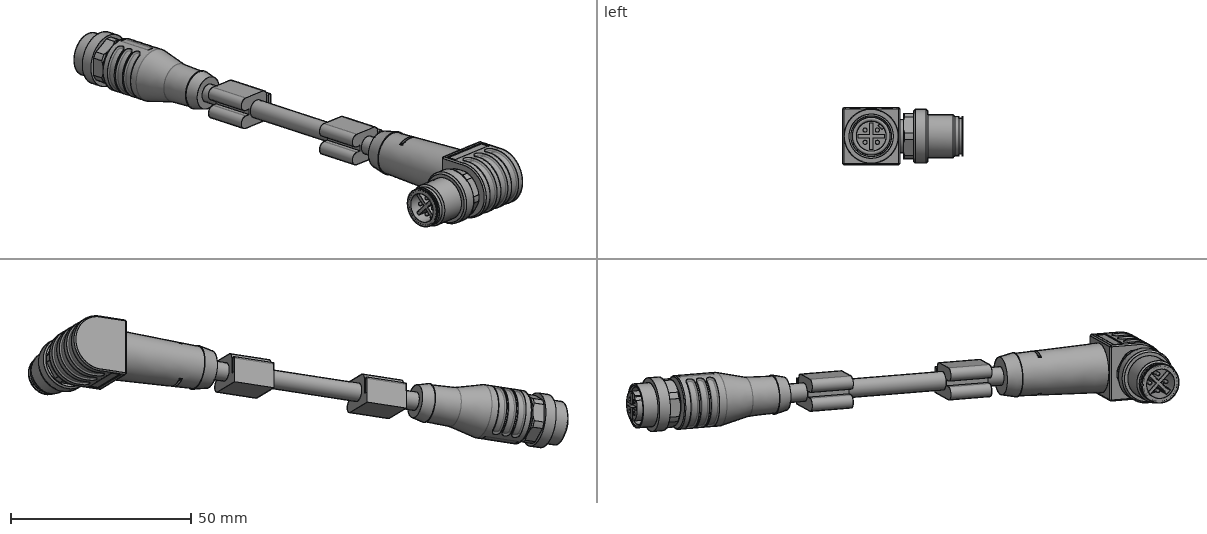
import cadquery as cq
import math

total_length = 155.37
cable_radius = 5.2 / 2
cable_overlap = 1.0

collar_radius = 15.0 / 2
hex_across_flats = 12.6
hex_corner_radius = 6.8
hex_chamfer = 0.4
neck_radius = 9.3 / 2

contact_count = 4
contact_pitch_radius = 2.4
socket_depth = 6.0
socket_angle = 45

insert_radius = 8.3 / 2
socket_radius = 1.15 / 2
cross_slot_width = 1.0
cross_slot_length = 7.4
keyway_width = 1.6
keyway_depth = 0.7
keyway_angle = 135
nut_front_x = 1.1
nut_front_radius = 12.3 / 2
nut_bore_radius = 10.5 / 2
nut_bore_end_x = 7.0
nut_bore_chamfer = 0.4
seal_center_x = 6.5
seal_squeeze = 0.03
collar_start_x = 5.4
collar_end_x = 8.6
hex_end_x = 12.0
body_start_x = 12.85
body_radius = 15.0 / 2
body_front_chamfer = 0.3
body_end_x = 25.4
cone_end_x = 33.9
cone_end_radius = 5.5
boot_lip_x = 41.9
boot_waist_radius = 5.2
boot_lip_radius = 5.5
boot_end_x = 45.5
boot_end_radius = 4.65

groove_fillet = 0.4
contact_tolerance = 1e-4

grip_center_x = 19.0
grip_pitch = 3.0
grip_width = 2.5
grip_depth = 0.5
grip_start_y = 2.6
label_flat_start_x = 13.9
label_flat_end_x = 24.05
label_flat_width = 1.86

clip_count = 2
clip_first_x = 51.2
clip_pitch = 41.2
clip_length = 12.2
clip_half_height = 4.55
clip_lobe_y = -4.5
clip_lobe_radius = 1.87
clip_gap_floor_y = -3.1
clip_flat_end_y = 2.6
clip_shoulder_radius = 1.6
clip_lip_end_y = 6.0
clip_lip_top_z = 2.9
clip_lip_thickness = 1.05
clip_slit_floor_z = -1.4

sleeve_boot_start_x = 109.6
sleeve_boot_start_radius = 5.3
sleeve_boot_lip_x = 113.9
sleeve_boot_lip_radius = 6.2
sleeve_boot_waist_radius = 5.95
sleeve_boot_end_radius = 6.95
notch_center_x = 120.0
notch_width = 0.8
notch_half_length = 3.5
block_start_x = 139.1
block_half_length = 8.0
block_radius = 7.985
block_half_height = 7.95
block_chamfer = 0.4
block_center_x = total_length - block_radius
block_groove_start_x = 144.5
block_groove_width = 2.9
block_groove_pitch = 4.5
block_groove_depth = 0.5
label_recess_start_x = 140.5
label_recess_end_x = 143.4
label_recess_length = 14.2
label_recess_depth = 0.3

plug_reach = 25.5
plug_tip_radius = 10.95 / 2
plug_ring_length = 0.35
plug_groove_end = 1.2
plug_groove_radius = 5.0
plug_step = 2.3
plug_sleeve_start = 2.8
plug_sleeve_radius = 12.0 / 2
plug_collar_start = 9.75
plug_collar_end = 13.75
plug_collar_chamfer = 0.5
plug_hex_end = 16.6
plug_bore_radius = 8.3 / 2
plug_bore_depth = 7.5
plug_web_recess = 1.5
plug_web_thickness = 1.0
plug_web_angle = 45
plug_pin_angle = 0
pin_radius = 1.0 / 2
pin_dome_radius = 0.45
key_width = 1.6
key_height = 0.9
key_angle = 225


def turned(points):
    """Solid of revolution about X from (x, radius) points; the axis closes the profile."""
    first_x = points[0][0]
    last_x = points[-1][0]
    outline = [(first_x, 0)] + points + [(last_x, 0)]
    return cq.Workplane("XY").polyline(outline).close().revolve(360, (0, 0, 0), (1, 0, 0))


def rod(radius, start_x, end_x):
    return cq.Workplane("YZ", origin=(start_x, 0, 0)).circle(radius).extrude(end_x - start_x)


def box_between(x_range, y_range, z_range):
    size = [high - low for low, high in (x_range, y_range, z_range)]
    corner = (x_range[0], y_range[0], z_range[0])
    return cq.Workplane("XY").box(*size, centered=False).translate(corner)


def about_axis(shape, angle):
    return shape.rotate((0, 0, 0), (1, 0, 0), angle)


def nut_hex(start_x, end_x, angle):
    """Hexagon with corners rounded by a cylinder and chamfered at the far end."""
    across_corners = hex_across_flats / math.cos(math.pi / 6)
    hexagon = cq.Workplane("YZ", origin=(start_x, 0, 0)).polygon(6, across_corners)
    hexagon = hexagon.extrude(end_x - start_x)
    rounding = turned([
        (start_x, hex_corner_radius),
        (end_x - hex_chamfer, hex_corner_radius),
        (end_x, hex_corner_radius - hex_chamfer),
    ])
    return about_axis(hexagon, angle).intersect(rounding)


def contact_points(first_angle):
    for index in range(contact_count):
        angle = math.radians(first_angle + index * 360 / contact_count)
        yield contact_pitch_radius * math.cos(angle), contact_pitch_radius * math.sin(angle)


def female_insert():
    insert = rod(insert_radius, 0, body_start_x)
    sockets = cq.Workplane("YZ").pushPoints(list(contact_points(socket_angle)))
    insert = insert.cut(sockets.circle(socket_radius).extrude(socket_depth))
    for angle in (0, 90):
        slot = cq.Workplane("YZ").rect(cross_slot_length, cross_slot_width).extrude(socket_depth)
        insert = insert.cut(about_axis(slot, angle))
    keyway = cq.Workplane("YZ").center(insert_radius, 0).rect(2 * keyway_depth, keyway_width)
    return insert.cut(about_axis(keyway.extrude(socket_depth), keyway_angle))


def female_nut():
    shell = turned([
        (nut_front_x, nut_front_radius),
        (collar_start_x, nut_front_radius),
        (collar_start_x, collar_radius),
        (collar_end_x, collar_radius),
        (collar_end_x, neck_radius),
        (body_start_x, neck_radius),
    ])
    shell = shell.union(nut_hex(collar_end_x, hex_end_x, 90))
    bore = turned([
        (nut_front_x, nut_bore_radius + nut_bore_chamfer),
        (nut_front_x + nut_bore_chamfer, nut_bore_radius),
        (nut_bore_end_x, nut_bore_radius),
    ])
    return shell.cut(bore)


def female_seal():
    """O-ring filling the gap between the insert and the nut bore."""
    ring_radius = (insert_radius + nut_bore_radius) / 2
    section_radius = (nut_bore_radius - insert_radius) / 2 + seal_squeeze
    section = cq.Workplane("XY").center(seal_center_x, ring_radius).circle(section_radius)
    return section.revolve(360, (0, -ring_radius, 0), (1, -ring_radius, 0))


def groove_cutter(slot, core):
    """Slot outside the core, with a fillet where its walls meet the floor on the core."""
    groove = slot.cut(core)
    floor_edges = []
    for edge in groove.edges("not(|Y)").vals():
        middle = cq.Vertex.makeVertex(*edge.positionAt(0.5).toTuple())
        if middle.distance(core.val()) < contact_tolerance:
            floor_edges.append(edge)
    return groove.newObject(floor_edges).fillet(groove_fillet)


def grip_groove(center_x):
    """Cutter for a groove around the +Y side of the female body, with rounded ends."""
    slot_length = 2 * body_radius
    slot = cq.Workplane("XY").center(center_x, grip_start_y + slot_length / 2)
    slot = slot.slot2D(slot_length, grip_width, 90).extrude(2 * body_radius, both=True)
    core = rod(body_radius - grip_depth, center_x - grip_width, center_x + grip_width)
    return groove_cutter(slot, core)


def female_body():
    body = turned([
        (body_start_x, body_radius - body_front_chamfer),
        (body_start_x + body_front_chamfer, body_radius),
        (body_end_x, body_radius),
        (cone_end_x, cone_end_radius),
        (boot_lip_x, boot_waist_radius),
        (boot_lip_x, boot_lip_radius),
        (boot_end_x, boot_end_radius),
    ])
    flat_z = math.sqrt(body_radius**2 - (label_flat_width / 2) ** 2)
    for angle in (0, 180):
        flat = box_between(
            (label_flat_start_x, label_flat_end_x), (-body_radius, body_radius), (flat_z, body_radius)
        )
        body = body.cut(about_axis(flat, angle))
        for step in (-1, 0, 1):
            groove = grip_groove(grip_center_x + step * grip_pitch)
            body = body.cut(about_axis(groove, angle))
    return body


def clip(start_x):
    """Cable clip: two rounded lobes on the -Y side and a latch lip on the +Y side."""
    top = clip_half_height
    lobe_inner_z = top - 2 * clip_lobe_radius
    lobe_tip = (clip_lobe_y - clip_lobe_radius, top - clip_lobe_radius)
    lip_inner_y = clip_lip_end_y - clip_lip_thickness
    lip_tip_radius = clip_lip_thickness / 2
    lip_inner_end = (lip_inner_y, clip_lip_top_z - lip_tip_radius)
    shoulder_y = clip_flat_end_y + clip_shoulder_radius
    shoulder_mid = clip_shoulder_radius * (1 - math.sqrt(0.5))
    profile = (
        cq.Workplane("YZ", origin=(start_x, 0, 0))
        .moveTo(clip_flat_end_y, top)
        .lineTo(clip_lobe_y, top)
        .threePointArc(lobe_tip, (clip_lobe_y, lobe_inner_z))
        .lineTo(clip_gap_floor_y, lobe_inner_z)
        .lineTo(clip_gap_floor_y, -lobe_inner_z)
        .lineTo(clip_lobe_y, -lobe_inner_z)
        .threePointArc((lobe_tip[0], -lobe_tip[1]), (clip_lobe_y, -top))
        .lineTo(clip_lip_end_y, -top)
        .lineTo(clip_lip_end_y, clip_lip_top_z - lip_tip_radius)
        .threePointArc((clip_lip_end_y - lip_tip_radius, clip_lip_top_z), lip_inner_end)
        .lineTo(lip_inner_y, clip_slit_floor_z)
        .lineTo(shoulder_y, clip_slit_floor_z)
        .lineTo(shoulder_y, top - clip_shoulder_radius)
        .threePointArc((shoulder_y - shoulder_mid, top - shoulder_mid), (clip_flat_end_y, top))
        .close()
    )
    return profile.extrude(clip_length)


def sleeve_boot():
    boot = turned([
        (sleeve_boot_start_x, sleeve_boot_start_radius),
        (sleeve_boot_lip_x, sleeve_boot_lip_radius),
        (sleeve_boot_lip_x, sleeve_boot_waist_radius),
        (block_start_x, sleeve_boot_end_radius),
    ])
    slope = (sleeve_boot_end_radius - sleeve_boot_waist_radius) / (block_start_x - sleeve_boot_lip_x)
    notch_radius = sleeve_boot_waist_radius + slope * (notch_center_x - sleeve_boot_lip_x)
    notch_floor = math.sqrt(notch_radius**2 - notch_half_length**2)
    notch = box_between(
        (notch_center_x - notch_width / 2, notch_center_x + notch_width / 2),
        (-notch_radius, notch_radius),
        (notch_floor, 2 * notch_radius),
    )
    return boot.cut(notch).cut(about_axis(notch, 180))


def block_prism(radius, half_height):
    """Prism along Y: flat above and below, closed on the +X side by a cylinder about the plug axis."""
    flat_end_x = block_center_x - math.sqrt(radius**2 - half_height**2)
    profile = (
        cq.Workplane("XZ")
        .moveTo(block_start_x, -half_height)
        .lineTo(flat_end_x, -half_height)
        .threePointArc((block_center_x + radius, 0), (flat_end_x, half_height))
        .lineTo(block_start_x, half_height)
        .close()
    )
    return profile.extrude(block_half_length, both=True)


def block():
    body = block_prism(block_radius, block_half_height)
    body = body.faces("<X or <Y or >Y").edges().chamfer(block_chamfer)
    core = block_prism(block_radius - block_groove_depth, block_half_height - block_groove_depth)
    groove_length = 4 * block_radius
    for step in (-1, 0, 1):
        groove = (
            cq.Workplane("XY")
            .center(block_groove_start_x + groove_length / 2, step * block_groove_pitch)
            .slot2D(groove_length, block_groove_width)
            .extrude(2 * block_radius, both=True)
        )
        body = body.cut(groove_cutter(groove, core))
    recess = box_between(
        (label_recess_start_x, label_recess_end_x),
        (-label_recess_length / 2, label_recess_length / 2),
        (block_half_height - label_recess_depth, block_radius),
    )
    return body.cut(recess).cut(about_axis(recess, 180))


def plug_shell():
    shell = turned([
        (0, plug_tip_radius),
        (plug_ring_length, plug_tip_radius),
        (plug_ring_length, plug_groove_radius),
        (plug_groove_end, plug_groove_radius),
        (plug_groove_end, plug_tip_radius),
        (plug_step, plug_tip_radius),
        (plug_sleeve_start, plug_sleeve_radius),
        (plug_collar_start, plug_sleeve_radius),
        (plug_collar_start, collar_radius - plug_collar_chamfer),
        (plug_collar_start + plug_collar_chamfer, collar_radius),
        (plug_collar_end - plug_collar_chamfer, collar_radius),
        (plug_collar_end, collar_radius - plug_collar_chamfer),
        (plug_collar_end, neck_radius),
        (plug_reach - block_half_length, neck_radius),
    ])
    shell = shell.union(nut_hex(plug_collar_end, plug_hex_end, 0))
    return shell.cut(rod(plug_bore_radius, 0, plug_bore_depth))


def plug_contacts():
    """Crossed shield web, four dome-tipped pins and the coding key inside the plug bore."""
    web_length = plug_bore_depth - plug_web_recess
    plane = cq.Workplane("YZ", origin=(plug_web_recess, 0, 0))
    web = plane.rect(2 * plug_bore_radius, plug_web_thickness).extrude(web_length)
    contacts = about_axis(web, plug_web_angle).union(about_axis(web, plug_web_angle + 90))
    for y, z in contact_points(plug_pin_angle):
        pin = rod(pin_radius, plug_web_recess, plug_bore_depth).faces("<X").edges().fillet(pin_dome_radius)
        contacts = contacts.union(pin.translate((0, y, z)))
    key = plane.center(plug_bore_radius - key_height / 2, 0).rect(key_height, key_width)
    contacts = contacts.union(about_axis(key.extrude(web_length), key_angle))
    return contacts.intersect(rod(plug_bore_radius, 0, plug_bore_depth))


def male_plug():
    plug = plug_shell().union(plug_contacts())
    plug = plug.rotate((0, 0, 0), (0, 0, 1), 90)
    return plug.translate((block_center_x, -plug_reach, 0))


result = rod(cable_radius, boot_end_x - cable_overlap, sleeve_boot_start_x + cable_overlap)
result = result.union(female_body()).union(female_nut()).union(female_insert()).union(female_seal())
for clip_index in range(clip_count):
    result = result.union(clip(clip_first_x + clip_index * clip_pitch))
result = result.union(sleeve_boot()).union(block()).union(male_plug())